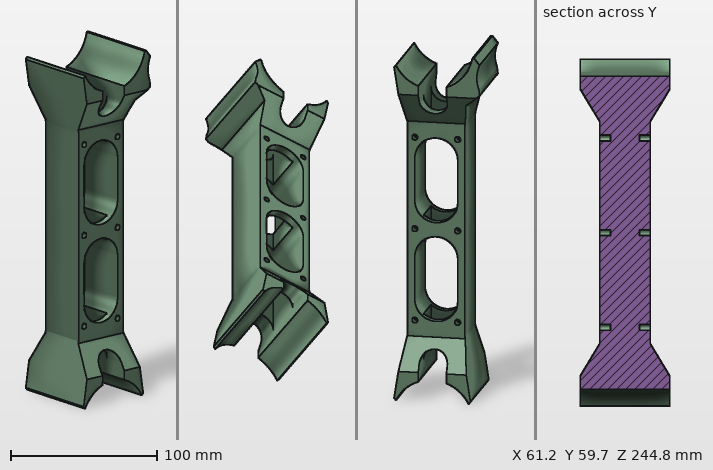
import cadquery as cq
import math

body_width = 34.8
body_depth = 40.2
flare_width = 61.2
mid_z = 118.5
fork_height = mid_z

depth_flare_start = 74.5
width_flare_start = 76.0
width_flare_end = 98.0
slot_center = 93.0
saddle_center = 131.2
jaw_shoulder = 116.8

jaw_reach = 26.7
slot_width = 19.5
saddle_radius = 28.5
saddle_drop = saddle_center - fork_height
jaw_tip_y = math.sqrt(saddle_radius**2 - saddle_drop**2)

hook_reach = 33.0
hook_root_z = 209.5
hook_heel = (hook_reach, 218.5)
hook_waist_start = (32.5, 222.8)
hook_waist_middle = (31.0, 231.0)
hook_waist_end = (hook_reach, 240.0)
hook_crest = (29.1, 244.8)
hook_tip_y = 28.0
hook_tip_drop = math.sqrt(saddle_radius**2 - hook_tip_y**2)
hook_tip = (hook_tip_y, mid_z + saddle_center - hook_tip_drop)

channel_width = 24.0
window_length = 59.7
window_width = 29.9
window_pitch = 69.8
screw_diameter = 4.0
screw_depth = 7.3
screw_pitch_y = 29.9
screw_pitch_z = 64.6


def jaw_outer_y(z):
    """Y of the sloping outer face of a jaw at height z of the upper fork."""
    rise = (z - mid_z - depth_flare_start) / (jaw_shoulder - depth_flare_start)
    return body_depth / 2 + rise * (jaw_reach - body_depth / 2)


def side_blank():
    """Side outline of the post, jaws and hook, filled and extruded along X."""
    half = body_depth / 2
    return (
        cq.Workplane("YZ")
        .moveTo(-jaw_tip_y, mid_z - fork_height)
        .lineTo(jaw_tip_y, mid_z - fork_height)
        .lineTo(jaw_reach, mid_z - jaw_shoulder)
        .lineTo(half, mid_z - depth_flare_start)
        .lineTo(half, mid_z + depth_flare_start)
        .lineTo(jaw_outer_y(hook_root_z), hook_root_z)
        .lineTo(*hook_heel)
        .lineTo(*hook_waist_start)
        .threePointArc(hook_waist_middle, hook_waist_end)
        .lineTo(*hook_crest)
        .lineTo(*hook_tip)
        .lineTo(-jaw_tip_y, mid_z + fork_height)
        .lineTo(-jaw_reach, mid_z + jaw_shoulder)
        .lineTo(-half, mid_z + depth_flare_start)
        .lineTo(-half, mid_z - depth_flare_start)
        .lineTo(-jaw_reach, mid_z - jaw_shoulder)
        .close()
        .extrude(flare_width / 2, both=True)
    )


def front_blank():
    """Front outline of the post and its two widened ends, extruded along Y."""
    narrow = body_width / 2
    wide = flare_width / 2
    end = hook_crest[1] - mid_z
    right_edge = [
        (wide, -end),
        (wide, -width_flare_end),
        (narrow, -width_flare_start),
        (narrow, width_flare_start),
        (wide, width_flare_end),
        (wide, end),
    ]
    left_edge = [(-x, z) for x, z in reversed(right_edge)]
    return (
        cq.Workplane("XZ", origin=(0, 0, mid_z))
        .polyline(right_edge + left_edge)
        .close()
        .extrude(hook_reach, both=True)
    )


def cross_cylinder(radius, z):
    """Cylinder along X spanning the full width, with its axis at height z."""
    return cq.Workplane("YZ", origin=(0, 0, z)).circle(radius).extrude(flare_width / 2, both=True)


def fork_cut(direction):
    """Saddle and round-bottomed slot of one fork; direction is +1 up, -1 down."""
    saddle_z = mid_z + direction * saddle_center
    slot_z = mid_z + direction * slot_center
    slot_depth = saddle_center - slot_center
    saddle = cross_cylinder(saddle_radius, saddle_z)
    slot_end = cross_cylinder(slot_width / 2, slot_z)
    slot_sides = cq.Workplane("XY", origin=(0, 0, (saddle_z + slot_z) / 2)).box(
        flare_width, slot_width, slot_depth
    )
    return saddle.union(slot_end).union(slot_sides)


def channel():
    """Rectangular hollow along the whole post."""
    return cq.Workplane("XY").rect(channel_width, slot_width).extrude(2 * mid_z)


def windows():
    """Two obround openings, one above the other, right through along X."""
    return (
        cq.Workplane("YZ", origin=(0, 0, mid_z))
        .rarray(2.5, window_pitch, 1, 2)
        .slot2D(window_length, window_width, 90)
        .extrude(body_width, both=True)
    )


def screw_holes(side):
    """Blind screw holes around the windows on the face at side * X."""
    return (
        cq.Workplane("YZ", origin=(side * body_width / 2, 0, mid_z))
        .rarray(screw_pitch_y, screw_pitch_z, 2, 3)
        .circle(screw_diameter / 2)
        .extrude(-side * screw_depth)
    )


result = side_blank().intersect(front_blank())
for end_sign in (1, -1):
    result = result.cut(fork_cut(end_sign))
result = result.cut(channel()).cut(windows())
for face_sign in (1, -1):
    result = result.cut(screw_holes(face_sign))